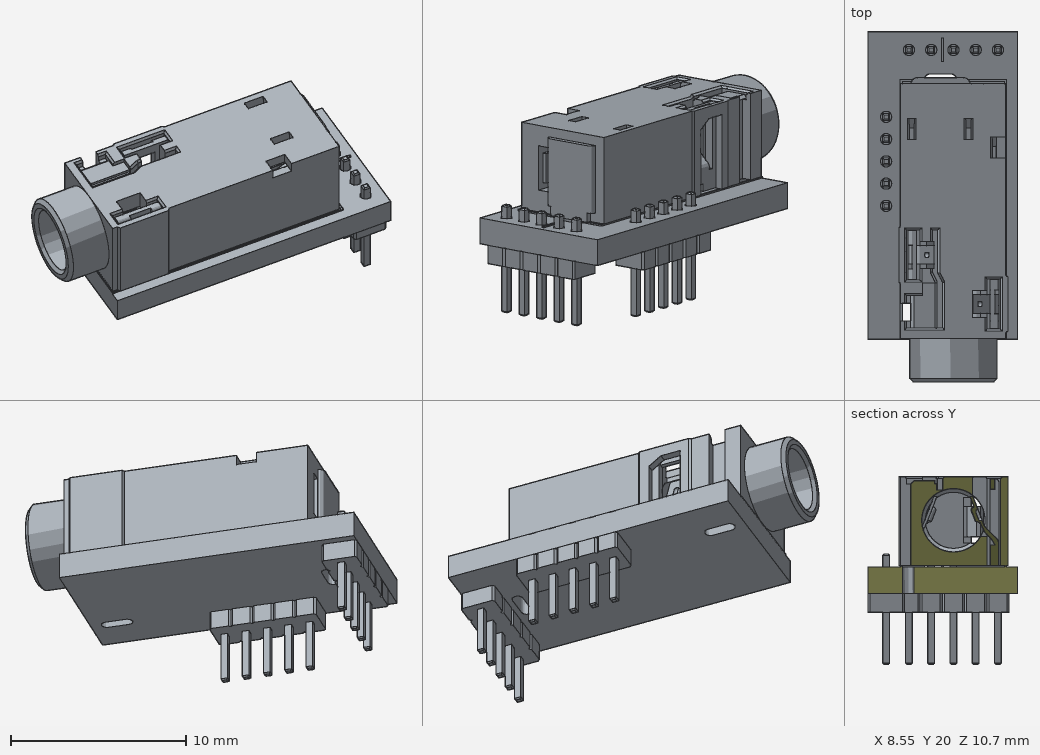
import cadquery as cq
import math


board_width = 8.55
board_length = 17.55
board_bottom = -1.6
board_left = -4.88
print_height = 0.08
print_width = 0.12
board_top = -print_height
printed_frame_width = 6.08
printed_frame_back = 14.85
divider_length = 1.35
pin_hole_diameter = 0.65
terminal_slot_width = 0.65
terminal_slot_length = 1.85
front_slot_x = -2.58
back_slot_y = 14.82

pin_count = 5
pin_row_span = 5.08
pitch = pin_row_span / (pin_count - 1)
pin_width = 0.4
pin_top = 0.65
pin_bottom = -5.65
pin_tip_chamfer = 0.08
header_width = 2.08
header_height = 1.08
header_chamfer = 0.12
left_header_y = 10.15
left_header_x = board_left + header_width / 2
back_header_x = 0.0
back_header_y = board_length - header_width / 2

housing_left = -3.02
housing_right = 2.95
housing_front = 0.05
housing_back = 14.6
housing_top = 5.08
bulge_half_width = 3.12
bulge_length = 3.32
bulge_bevel = 0.12
nozzle_diameter = 5.0
nozzle_tip = -2.45
nozzle_chamfer = 0.22
axis_z = housing_top - nozzle_diameter / 2
bore_diameter = 3.6
bore_mouth_chamfer = 0.2
inner_bore_diameter = 3.2
inner_bore_start = 6.8
bore_end = 12.8
mouth_chamfer = 0.12
cutter_margin = 0.2

left_contact_y = 4.82
right_contact_y = 2.02
plate_inner_x = 2.1
plate_thickness = 0.5
plate_length = 2.8
plate_top_gap = 0.12
plate_lip_radius = 0.25
plate_window_bottom = -1.4
plate_window_top = 1.75
tongue_width = 1.05
tongue_side_gaps = (0.05, 0.25)
contact_slot_mouth = (1.8, 2.8)
contact_slot_length = 3.1
access_inner_x = 1.1
access_width = 1.52
access_bottom = -0.92
plate_outer_x = plate_inner_x + plate_thickness
dimple_height = 0.3
dimple_end_rounding = 0.45
dimple_rib_x = 1.32
dimple_diameter = 0.4
dimple_length = 1.0
dimple_hollow_x = 1.48
dimple_hollow_diameter = 0.28
dimple_hollow_length = 0.68

front_pocket_depth = 0.25
front_pocket_left = -2.8
front_pocket_front = 0.55
front_pocket_back = 2.62
channel_depth = 0.42
channel_chamfer = 0.2
groove_wall_x = -2.45
groove_width = 1.0
groove_y = 1.55
slit_depth = 0.75
ledge_depth = 0.4

window_front = 3.82
window_back = 5.78
window_height = 4.38
window_corner = (0.75, 0.52)
gate_height = 0.45
gate_front = 4.9
gate_end_x = -2.2

ramp_pocket_length = 1.2
ramp_pocket_width = 0.5
ramp_pocket_lean = 0.12
ramp_pocket_depth = 0.8
ramp_length = 0.55
ramp_rise = 0.2
ramp_pocket_y = 12.0
ramp_pocket_xs = (-2.38, 0.85)
notch_y = 10.95
notch_pocket_width = 0.45
notch_inner_x = 2.12
notch_depth = 0.6

cavity_inner_x = 0.58
cavity_outer_x = 1.72
cavity_front = 6.0
cavity_back = 14.2
cavity_half_height = 1.3
rear_opening_x = 1.02
tip_height = 1.75
tip_bottom = -0.95
tip_sheet = 0.22

rear_plate_center_x = -0.75
rear_plate_width = 3.38
rear_plate_flat_width = 2.65
rear_plate_depth = 0.35
rear_plate_bow = 0.7
rear_plate_bottom = 0.55
rear_plate_top = 4.52


def block(x_range, y_range, z_range):
    """Box between the given limits."""
    (x0, x1), (y0, y1), (z0, z1) = x_range, y_range, z_range
    return cq.Workplane("XY").box(x1 - x0, y1 - y0, z1 - z0, centered=False).translate((x0, y0, z0))


def pin_offsets():
    return [(i - (pin_count - 1) / 2) * pitch for i in range(pin_count)]


def make_header():
    """Row of pins along X in a plastic strip hung under the board; strip and pins are one solid."""
    header = None
    for offset in pin_offsets():
        cell = (
            cq.Workplane("XY", origin=(offset, 0, board_bottom))
            .rect(pitch, header_width)
            .extrude(-header_height)
            .edges("|Z")
            .chamfer(header_chamfer)
        )
        pin = (
            cq.Workplane("XY", origin=(offset, 0, pin_bottom))
            .rect(pin_width, pin_width)
            .extrude(pin_top - pin_bottom)
            .faces("<Z or >Z")
            .chamfer(pin_tip_chamfer)
        )
        cell = cell.union(pin)
        header = cell if header is None else header.union(cell)
    return header


def make_board():
    """Board with pin holes, terminal slots and the raised printed lines."""
    board = block(
        (board_left, board_left + board_width), (0, board_length), (board_bottom, board_top)
    )

    half_frame = printed_frame_width / 2
    outside = block((-half_frame, half_frame), (0, printed_frame_back), (board_top, 0))
    inside = block(
        (print_width - half_frame, half_frame - print_width),
        (print_width, printed_frame_back - print_width),
        (board_top, 0),
    )
    board = board.union(outside.cut(inside))

    divider_x = back_header_x - pitch / 2
    divider = block(
        (divider_x - print_width / 2, divider_x + print_width / 2),
        (back_header_y - divider_length / 2, back_header_y + divider_length / 2),
        (board_top, 0),
    )
    board = board.union(divider)

    holes = [(back_header_x + d, back_header_y) for d in pin_offsets()]
    holes += [(left_header_x, left_header_y + d) for d in pin_offsets()]
    board = board.cut(
        cq.Workplane("XY").pushPoints(holes).circle(pin_hole_diameter / 2).extrude(board_bottom)
    )

    slots = (((front_slot_x, groove_y), 90), ((rear_plate_center_x, back_slot_y), 0))
    for center, angle in slots:
        slot = (
            cq.Workplane("XY")
            .center(*center)
            .slot2D(terminal_slot_length, terminal_slot_width, angle)
            .extrude(board_bottom)
        )
        board = board.cut(slot)
    return board


def roof_pocket(mouth, depth):
    """Cutter for a pocket sunk from the roof; its mouth is chamfered all round."""
    roof = cq.Workplane("XY", origin=(0, 0, housing_top))
    flare = roof.polyline(mouth).close().extrude(-mouth_chamfer, taper=45)
    throat = flare.faces("<Z").wires().toPending()
    return flare.union(throat.extrude(mouth_chamfer - depth, combine=False))


def rectangle(x_range, y_range):
    (x0, x1), (y0, y1) = x_range, y_range
    return [(x0, y0), (x1, y0), (x1, y1), (x0, y1)]


def ramp_pocket(x, y, width):
    """Cutter for a narrow roof pocket with leaning sides and a floor that rises toward the back."""
    front = y - ramp_pocket_length / 2
    back = y + ramp_pocket_length / 2
    floor = housing_top - ramp_pocket_depth
    along = [
        (front, housing_top),
        (front, floor),
        (back - ramp_length, floor),
        (back, floor + ramp_rise),
        (back, housing_top),
    ]
    mouth_half = width / 2
    floor_half = mouth_half - ramp_pocket_lean
    across = [
        (x - mouth_half, housing_top),
        (x - floor_half, floor),
        (x + floor_half, floor),
        (x + mouth_half, housing_top),
    ]
    lengthwise = (
        cq.Workplane("YZ", origin=(x - mouth_half, 0, 0)).polyline(along).close().extrude(width)
    )
    crosswise = (
        cq.Workplane("XZ", origin=(0, front, 0))
        .polyline(across)
        .close()
        .extrude(-ramp_pocket_length)
    )
    return lengthwise.intersect(crosswise)


def side_bulge(side, y):
    """Slightly raised band of the side wall beside a contact; side is -1 (left) or 1 (right)."""
    wall = housing_right if side > 0 else housing_left
    crest_x = side * bulge_half_width
    root = bulge_length / 2
    crest = root - bulge_bevel
    outline = [
        (wall - side * cutter_margin, y - root),
        (wall, y - root),
        (crest_x, y - crest),
        (crest_x, y + crest),
        (wall, y + root),
        (wall - side * cutter_margin, y + root),
    ]
    return cq.Workplane("XY").polyline(outline).close().extrude(housing_top)


def contact_space(side, y):
    """Cutter for the slot of a side contact and the opening that lets its tongue reach the bore."""
    mouth_x = sorted(side * x for x in contact_slot_mouth)
    half_slot = contact_slot_length / 2
    slot = roof_pocket(
        rectangle(mouth_x, (y - half_slot, y + half_slot)), housing_top
    )
    access_x = sorted((side * access_inner_x, side * plate_outer_x))
    half_access = access_width / 2
    access = block(
        access_x, (y - half_access, y + half_access), (axis_z + access_bottom, housing_top)
    )
    return slot.union(access)


def bore():
    """Cutter for the plug bore: chamfered mouth, main bore, cone and narrower inner bore."""
    main = bore_diameter / 2
    inner = inner_bore_diameter / 2
    profile = [
        (0, nozzle_tip),
        (main + bore_mouth_chamfer, nozzle_tip),
        (main, nozzle_tip + bore_mouth_chamfer),
        (main, inner_bore_start),
        (inner, inner_bore_start + main - inner),
        (inner, bore_end),
        (0, bore_end),
    ]
    return (
        cq.Workplane("XY")
        .polyline(profile)
        .close()
        .revolve(360, (0, 0, 0), (0, 1, 0))
        .translate((0, 0, axis_z))
    )


def front_pocket():
    """Cutter for the shallow stepped pocket, its side channel, and the ledge and jogged slit beside it."""
    step_left = -1.75
    step_back = 3.22
    ledge_left = -1.05
    ledge_right = -0.92
    front = front_pocket_front
    left = front_pocket_left
    inner_front = front + mouth_chamfer
    pocket = roof_pocket(
        rectangle((left, ledge_right), (front, front_pocket_back)), front_pocket_depth
    )
    step = block(
        (step_left, ledge_right),
        (inner_front, step_back),
        (housing_top - front_pocket_depth, housing_top),
    )
    ledge = block(
        (ledge_left, ledge_right),
        (inner_front, step_back),
        (housing_top - ledge_depth, housing_top),
    )
    jog_front = 3.28
    jog_back = 3.82
    slit = roof_pocket(
        [
            (ledge_left, front),
            (-0.5, front),
            (-0.5, jog_front),
            (-0.78, jog_back),
            (-0.78, 6.35),
            (-1.32, 6.35),
            (-1.32, jog_back),
            (ledge_left, jog_front),
        ],
        slit_depth,
    )
    channel_left = left + mouth_chamfer
    channel = (
        cq.Workplane("XZ", origin=(0, inner_front, 0))
        .polyline(
            [
                (channel_left, housing_top - front_pocket_depth),
                (groove_wall_x + channel_chamfer, housing_top - front_pocket_depth),
                (groove_wall_x, housing_top - channel_depth),
                (channel_left, housing_top - channel_depth),
            ]
        )
        .close()
        .extrude(-(front_pocket_back - mouth_chamfer - inner_front))
    )
    return pocket.union(step).union(ledge).union(slit).union(channel)


def side_window():
    """Cutter for the left window with its cut corner, and the low gate at its foot."""
    corner_y, corner_z = window_corner
    outside_x = housing_left - cutter_margin
    outline = [
        (window_front, 0),
        (window_back, 0),
        (window_back, window_height - corner_z),
        (window_back - corner_y, window_height),
        (window_front, window_height),
    ]
    window = (
        cq.Workplane("YZ", origin=(outside_x, 0, 0))
        .polyline(outline)
        .close()
        .extrude(-plate_outer_x - outside_x)
    )
    gate = block((outside_x, gate_end_x), (gate_front, window_back), (0, gate_height))
    return window.union(gate)


def make_housing():
    housing = block((housing_left, housing_right), (housing_front, housing_back), (0, housing_top))
    nozzle = (
        cq.Workplane("XZ", origin=(0, housing_front, axis_z))
        .circle(nozzle_diameter / 2)
        .extrude(housing_front - nozzle_tip)
        .faces("<Y")
        .chamfer(nozzle_chamfer)
    )
    housing = housing.union(nozzle)
    for direction, y in ((-1, left_contact_y), (1, right_contact_y)):
        housing = housing.union(side_bulge(direction, y))

    housing = housing.cut(bore())
    for direction, y in ((-1, left_contact_y), (1, right_contact_y)):
        housing = housing.cut(contact_space(direction, y))
    housing = housing.cut(front_pocket()).cut(side_window())

    groove = block(
        (housing_left - cutter_margin, groove_wall_x),
        (groove_y - groove_width / 2, groove_y + groove_width / 2),
        (0, housing_top),
    )
    housing = housing.cut(groove)

    for x in ramp_pocket_xs:
        housing = housing.cut(ramp_pocket(x, ramp_pocket_y, ramp_pocket_width))
    notch = block(
        (notch_inner_x, housing_right),
        (notch_y - ramp_pocket_length / 2, notch_y + ramp_pocket_length / 2),
        (housing_top - notch_depth, housing_top),
    )
    notch_pocket = ramp_pocket(notch_inner_x + notch_pocket_width / 2, notch_y, notch_pocket_width)
    housing = housing.cut(notch).cut(notch_pocket)

    cavity_z = (axis_z - cavity_half_height, axis_z + cavity_half_height)
    cavity = block((cavity_inner_x, cavity_outer_x), (cavity_front, cavity_back), cavity_z)
    opening = block((rear_opening_x, cavity_outer_x), (cavity_back, housing_back), cavity_z)
    return housing.cut(cavity).cut(opening)


def make_side_contact(angle, y):
    """Upright plate with a window and a tongue bent from the window's foot into the bore.

    An angle of 0 gives the right-hand contact and 180 turns it to the left side.
    """
    plate = (
        block(
            (plate_inner_x, plate_outer_x),
            (-plate_length / 2, plate_length / 2),
            (0, housing_top - plate_top_gap),
        )
        .edges("|Y and >X and >Z")
        .fillet(plate_lip_radius)
    )
    narrow_gap, wide_gap = tongue_side_gaps
    window_y = (-tongue_width / 2 - narrow_gap, tongue_width / 2 + wide_gap)
    window = block(
        (plate_inner_x, plate_outer_x),
        window_y,
        (axis_z + plate_window_bottom, axis_z + plate_window_top),
    )
    lip_gap = block(
        (plate_outer_x - plate_lip_radius, plate_outer_x), window_y, (axis_z, housing_top)
    )
    foot_gap = block(
        (plate_inner_x, plate_outer_x),
        (left_contact_y - window_back, left_contact_y - gate_front),
        (0, gate_height),
    )

    tip_inner = (0.95, 1.35)
    bend_inner = (1.52, -0.15)
    tongue = (
        cq.Workplane("XZ", origin=(0, tongue_width / 2, axis_z))
        .moveTo(*tip_inner)
        .lineTo(1.12, 1.35)
        .lineTo(1.68, -0.1)
        .threePointArc((1.78, -0.32), (1.95, -0.52))
        .lineTo(2.35, -0.95)
        .threePointArc((2.55, -1.15), (plate_outer_x, plate_window_bottom))
        .lineTo(plate_outer_x - plate_lip_radius, plate_window_bottom)
        .lineTo(2.18, -1.1)
        .lineTo(1.78, -0.68)
        .lineTo(*bend_inner)
        .close()
        .extrude(tongue_width)
    )

    run = bend_inner[0] - tip_inner[0]
    rise = tip_inner[1] - bend_inner[1]
    slant = math.degrees(math.atan2(run, rise))

    def capsule(x, diameter, length):
        """Round-ended rod along the tongue, centred at the given X."""
        return (
            cq.Workplane("XY")
            .circle(diameter / 2)
            .extrude(length / 2, both=True)
            .faces("<Z or >Z")
            .edges()
            .fillet(diameter * dimple_end_rounding)
            .rotate((0, 0, 0), (0, 1, 0), -slant)
            .translate((x, 0, axis_z + dimple_height))
        )

    rib = capsule(dimple_rib_x, dimple_diameter, dimple_length)
    hollow = capsule(dimple_hollow_x, dimple_hollow_diameter, dimple_hollow_length)
    contact = plate.cut(window).cut(lip_gap).cut(foot_gap).union(tongue).union(rib).cut(hollow)
    return contact.rotate((0, 0, 0), (0, 0, 1), angle).translate((0, y, 0))


def make_tip_contact():
    """Bent strip in the side cavity: a nose toward the axis and a leg along the cavity wall."""
    nose_x = cavity_inner_x
    nose_y = 11.8
    lead_x = 1.32
    lead_y = 10.8
    bend_x = 0.78
    bend_y = 11.35
    leg_start = 13.2
    outline = [
        (lead_x, lead_y),
        (bend_x, bend_y),
        (nose_x, nose_y),
        (nose_x, nose_y + tip_sheet),
        (cavity_outer_x - tip_sheet, leg_start),
        (cavity_outer_x - tip_sheet, cavity_back),
        (cavity_outer_x, cavity_back),
        (cavity_outer_x, leg_start),
        (nose_x + tip_sheet, nose_y + tip_sheet),
        (nose_x + tip_sheet, nose_y),
        (bend_x + tip_sheet, bend_y),
        (lead_x + tip_sheet, lead_y),
    ]
    base = cq.Workplane("XY", origin=(0, 0, axis_z + tip_bottom))
    return base.polyline(outline).close().extrude(tip_height)


def make_rear_plate():
    """Bowed plate on the back of the housing, standing on a straight foot."""
    half_flat = rear_plate_flat_width / 2
    half_width = rear_plate_width / 2
    back = housing_back + rear_plate_depth
    shoulder = half_flat + rear_plate_bow * (half_width - half_flat)
    shoulder_y = housing_back + rear_plate_bow * rear_plate_depth
    plate = (
        cq.Workplane("XY", origin=(rear_plate_center_x, 0, rear_plate_bottom))
        .moveTo(-half_width, housing_back)
        .threePointArc((-shoulder, shoulder_y), (-half_flat, back))
        .lineTo(half_flat, back)
        .threePointArc((shoulder, shoulder_y), (half_width, housing_back))
        .close()
        .extrude(rear_plate_top - rear_plate_bottom)
    )
    foot = block((-half_flat, half_flat), (housing_back, back), (0, rear_plate_bottom))
    return plate.union(foot.translate((rear_plate_center_x, 0, 0)))


board = make_board()
housing = make_housing()
back_header = make_header().translate((back_header_x, back_header_y, 0))
left_header = (
    make_header().rotate((0, 0, 0), (0, 0, 1), 90).translate((left_header_x, left_header_y, 0))
)
side_contacts = [
    make_side_contact(angle, y) for angle, y in ((180, left_contact_y), (0, right_contact_y))
]
tip_contact = make_tip_contact()
rear_plate = make_rear_plate()

bodies = [board, housing, back_header, left_header, *side_contacts, tip_contact, rear_plate]
result = cq.Compound.makeCompound([body.val() for body in bodies])